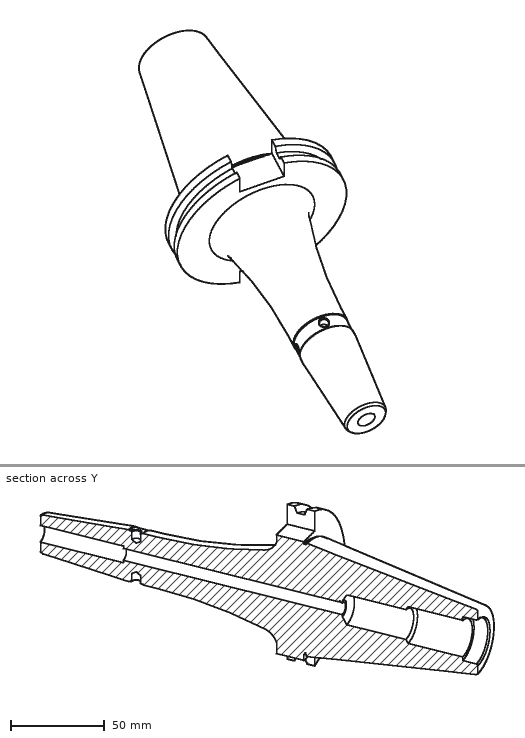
import cadquery as cq
import math

length = 261.5

gauge_x = 102.0
gauge_radius = 69.8 / 2
taper_slope = 3.5 / 24
shank_end_round = 1.5
neck_radius = 69.5 / 2
undercut_radius = 34.0
undercut_start = 102.8

flange_start = 104.0
flange_end = 120.5
flange_radius = 98.4 / 2
groove_x = 112.5
groove_floor_width = 4.2
groove_floor_radius = 45.5
groove_wall_angle = 25.0
slot_width = 25.6
upper_slot_floor = 35.3
lower_slot_floor = 37.7

root_radius = 30.5
neck_blend_x = 127.7
neck_blend_radius = 24.3
collar_start = 191.5
collar_radius = 32.0 / 2
band_start = 199.9
band_end = 208.8
band_radius = 31.5 / 2
band_wall_run = 0.5

nose_start = 211.0
nose_angle = 4.5
nose_chamfer = 1.5

entry_diameter = 28.0
entry_depth = 1.0
mouth_diameter = 26.7
mouth_depth = 6.3
relief_diameter = 26.5
relief_depth = 9.2
thread_diameter = 22.2
thread_depth = 41.9
rear_bore_diameter = 18.0
rear_bore_depth = 78.5
rear_cone_diameter = 9.5
through_diameter = 7.0
tool_bore_diameter = 10.0
tool_bore_depth = 49.7
drill_half_angle = 59.0

screw_count = 4
screw_diameter = 5.0
screw_mouth_diameter = 6.3
screw_floor_radius = 10.5


def cone_length(start_diameter, end_diameter):
    """Axial length of a drill point between two diameters."""
    return (start_diameter - end_diameter) / 2 / math.tan(math.radians(drill_half_angle))


def make_body():
    shank_radius = gauge_radius - gauge_x * taper_slope
    groove_flare = (flange_radius - groove_floor_radius) * math.tan(math.radians(groove_wall_angle))
    groove_floor_start = groove_x - groove_floor_width / 2
    groove_floor_end = groove_x + groove_floor_width / 2

    neck_run = collar_start - neck_blend_x
    neck_rise = neck_blend_radius - collar_radius
    neck_arc_radius = (neck_run**2 + neck_rise**2) / (2 * neck_rise)
    half_run = neck_run / 2
    neck_mid_radius = collar_radius + neck_arc_radius - math.sqrt(neck_arc_radius**2 - half_run**2)

    tip_radius = collar_radius - (length - nose_start) * math.tan(math.radians(nose_angle))
    chamfer_top = tip_radius + nose_chamfer * math.tan(math.radians(nose_angle))

    profile = (
        cq.Workplane("XY")
        .moveTo(length, 0)
        .lineTo(length, tip_radius - nose_chamfer / 2)
        .lineTo(length - nose_chamfer, chamfer_top)
        .lineTo(nose_start, collar_radius)
        .lineTo(band_end, collar_radius)
        .lineTo(band_end - band_wall_run, band_radius)
        .lineTo(band_start + band_wall_run, band_radius)
        .lineTo(band_start, collar_radius)
        .lineTo(collar_start, collar_radius)
        .threePointArc((collar_start - half_run, neck_mid_radius), (neck_blend_x, neck_blend_radius))
        .tangentArcPoint((flange_end, root_radius), relative=False)
        .lineTo(flange_end, flange_radius)
        .lineTo(groove_floor_end + groove_flare, flange_radius)
        .lineTo(groove_floor_end, groove_floor_radius)
        .lineTo(groove_floor_start, groove_floor_radius)
        .lineTo(groove_floor_start - groove_flare, flange_radius)
        .lineTo(flange_start, flange_radius)
        .lineTo(flange_start, undercut_radius)
        .lineTo(undercut_start, undercut_radius)
        .lineTo(undercut_start, neck_radius)
        .lineTo(gauge_x, gauge_radius)
        .lineTo(shank_end_round, shank_radius + shank_end_round * taper_slope)
        .tangentArcPoint((0, shank_radius - shank_end_round), relative=False)
        .lineTo(0, 0)
        .close()
    )
    return profile.revolve(360, (0, 0, 0), (1, 0, 0))


def make_drive_slot(floor, side):
    """Block removing one drive slot; side is +1 for up and -1 for down."""
    depth = flange_radius - floor
    return cq.Workplane("XY").box(flange_end - flange_start, slot_width, depth).translate(
        ((flange_start + flange_end) / 2, 0, side * (floor + depth / 2))
    )


def make_axial_bore():
    rear_cone_end = rear_bore_depth + cone_length(rear_bore_diameter, rear_cone_diameter)
    thread_end = thread_depth + cone_length(thread_diameter, rear_bore_diameter)
    tool_floor = length - tool_bore_depth
    profile = (
        cq.Workplane("XY")
        .moveTo(0, 0)
        .lineTo(0, entry_diameter / 2)
        .lineTo(entry_depth, mouth_diameter / 2)
        .lineTo(mouth_depth, mouth_diameter / 2)
        .lineTo(relief_depth, relief_diameter / 2)
        .lineTo(relief_depth, thread_diameter / 2)
        .lineTo(thread_depth, thread_diameter / 2)
        .lineTo(thread_end, rear_bore_diameter / 2)
        .lineTo(rear_bore_depth, rear_bore_diameter / 2)
        .lineTo(rear_cone_end, rear_cone_diameter / 2)
        .lineTo(rear_cone_end, through_diameter / 2)
        .lineTo(tool_floor, through_diameter / 2)
        .lineTo(tool_floor, tool_bore_diameter / 2)
        .lineTo(length, tool_bore_diameter / 2)
        .lineTo(length, 0)
        .close()
    )
    return profile.revolve(360, (0, 0, 0), (1, 0, 0))


def make_screw_hole(angle):
    """Blind hole with a countersunk mouth and a drill-point floor."""
    mouth_chamfer = (screw_mouth_diameter - screw_diameter) / 2
    point_radius = screw_floor_radius - cone_length(screw_diameter, 0)
    profile = (
        cq.Workplane("XZ")
        .moveTo(0, point_radius)
        .lineTo(screw_diameter / 2, screw_floor_radius)
        .lineTo(screw_diameter / 2, band_radius - mouth_chamfer)
        .lineTo(screw_mouth_diameter / 2, band_radius)
        .lineTo(screw_mouth_diameter / 2, collar_radius)
        .lineTo(0, collar_radius)
        .close()
    )
    hole = profile.revolve(360, (0, 0, 0), (0, 1, 0))
    band_center = (band_start + band_end) / 2
    return hole.translate((band_center, 0, 0)).rotate((0, 0, 0), (1, 0, 0), angle)


result = make_body()
result = result.cut(make_drive_slot(upper_slot_floor, 1))
result = result.cut(make_drive_slot(lower_slot_floor, -1))
result = result.cut(make_axial_bore())
for index in range(screw_count):
    result = result.cut(make_screw_hole(index * 360 / screw_count))